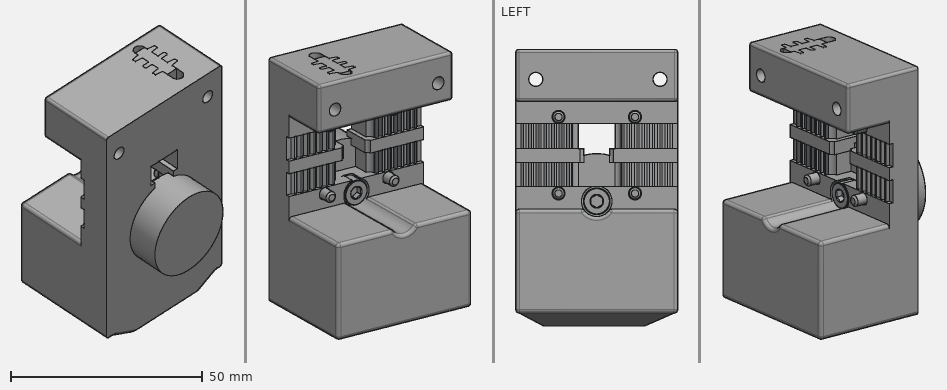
import cadquery as cq
import math

body_depth = 32.3
body_width = 42.4
body_top = 72.45
wall_front = 22.75
jaw_front = 9.0
jaw_bottom = 58.8
jaw_round = 0.8
base_bottom = 3.4
base_top = 30.65
base_round = 1.0
half_width = body_width / 2
cut_margin = 1.0

foot_front = 15.95
foot_left = 13.8
foot_right = -12.4
foot_corner_round = 1.0

window_half_width = 4.8
window_bottom = 36.5
window_top = 53.0
window_corner = 1.5
bar_bottom = 42.9
bar_top = 46.5
bar_half_gap = 3.4
bar_round = 1.0
tooth_tip = 23.25
tooth_root = 23.95
tooth_pitch = 2.0
tooth_count = 7
tooth_land = 0.55
tooth_flank = 0.75
first_tooth = 6.55

magnet_diameter = 25.0
magnet_reach = 9.25
magnet_recess = 2.0
axis_height = 32.7
head_diameter = 7.0
head_height = 4.2
head_chamfer = 0.2
hex_flats = 3.0
hex_depth = 2.0
hex_lead_in = 3.6
hex_lead_in_depth = (hex_lead_in - hex_flats) / 2
shank_diameter = 4.0
shank_in_magnet = 5.0
groove_diameter = 8.0

pin_diameter = 3.0
pin_tip_diameter = 1.89
pin_hole_diameter = 3.4
pin_reach = 3.4
pin_bed = 6.0
pin_spacing = 20.0
pin_middle = 44.75
cross_hole_diameter = 3.6
cross_hole_spacing = 32.5
cross_hole_middle = -0.3
cross_hole_height = 64.6

slot_center = 20.0
slot_length = 17.4
slot_width = 3.4
slot_y = 10.0
slot_depth = 4.0
bore_diameter = 3.0
bore_length = 8.0
bore_tilt = 20.0
key_center = 19.08
key_length = 11.95
key_span = 8.1
key_tooth_pitch = 3.77
key_middle_tooth_x = 18.7
key_tooth_root = 1.7
key_tooth_tip = 1.05
key_middle_tooth = 1.3
key_middle_round = 0.4


def block(x_min, x_max, y_half, z_min, z_max):
    """Box that is symmetric about Y = 0."""
    size = (x_max - x_min, 2 * y_half, z_max - z_min)
    return cq.Workplane().box(*size, centered=(False, True, False)).translate((x_min, 0, z_min))


def rod(diameter, x_min, x_max, y=0, z=axis_height):
    """Cylinder along X."""
    return cq.Workplane("YZ", origin=(x_min, y, z)).circle(diameter / 2).extrude(x_max - x_min)


def make_jaw():
    jaw = block(jaw_front, body_depth, half_width, jaw_bottom, body_top)
    return jaw.edges("|X or <X").fillet(jaw_round)


def make_base():
    base = block(0, body_depth, half_width, base_bottom, base_top)
    base = base.cut(rod(groove_diameter, 0, body_depth))
    return base.edges("|X or <X").fillet(base_round)


def make_foot():
    length = body_depth - base_round
    width = body_width - 2 * base_round
    flat_length = body_depth - foot_front
    flat_width = foot_left - foot_right
    foot = (
        cq.Workplane("XY", origin=(body_depth - length / 2, 0, base_bottom))
        .rect(length, width)
        .workplane(offset=-base_bottom)
        .center((length - flat_length) / 2, (foot_left + foot_right) / 2)
        .rect(flat_length, flat_width)
        .loft(ruled=True)
    )
    back_edges = foot.faces(">X").edges("not |Y")
    return back_edges.fillet(foot_corner_round)


def make_belt_cutter(z_min, z_max):
    """Space taken by one belt band on the +Y side, toothed on its back."""
    mouth = wall_front - cut_margin
    outer = half_width + cut_margin
    points = [(mouth, 0), (tooth_root, 0)]
    for index in range(tooth_count):
        step = first_tooth + index * tooth_pitch
        points.append((tooth_root, step))
        points.append((tooth_tip, step))
        points.append((tooth_tip, step + tooth_land))
        points.append((tooth_root, step + tooth_land + tooth_flank))
    points.append((tooth_root, outer))
    points.append((mouth, outer))
    teeth = cq.Workplane("XY", origin=(0, 0, z_min)).polyline(points).close().extrude(z_max - z_min)

    flare = window_half_width + window_corner
    opening = (
        cq.Workplane("XY", origin=(0, 0, z_min))
        .moveTo(tooth_root, 0)
        .lineTo(tooth_root, flare)
        .radiusArc((tooth_root + window_corner, window_half_width), window_corner)
        .lineTo(body_depth, window_half_width)
        .lineTo(body_depth, 0)
        .close()
        .extrude(z_max - z_min)
    )
    return teeth.union(opening)


def make_bar_gap():
    """Gap between the rounded ends of the bar, right through the wall."""
    gap = (
        cq.Workplane("XY", origin=(0, 0, bar_bottom))
        .moveTo(wall_front, 0)
        .lineTo(wall_front, bar_half_gap + bar_round)
        .radiusArc((wall_front + bar_round, bar_half_gap), bar_round)
        .lineTo(body_depth, bar_half_gap)
        .lineTo(body_depth, 0)
        .close()
        .extrude(bar_top - bar_bottom)
    )
    return gap


def make_slot():
    """Straight-sided mouth that the key fills, above a round-bottomed channel."""
    floor = body_top - slot_depth
    mouth = (
        cq.Workplane("XY", origin=(slot_center, slot_y, floor))
        .slot2D(slot_length, slot_width)
        .extrude(slot_depth)
    )
    channel_start = slot_center - slot_length / 2
    channel_end = channel_start + slot_length
    return mouth.union(rod(slot_width, channel_start, channel_end, slot_y, floor))


def make_slot_bore():
    """Sloping bore that leaves the +X end of the channel."""
    end_x = slot_center + (slot_length - bore_diameter) / 2
    bore = (
        cq.Workplane("XY", origin=(end_x, slot_y, body_top - slot_depth))
        .transformed(rotate=(0, bore_tilt, 0))
        .circle(bore_diameter / 2)
        .extrude(-bore_length)
    )
    return bore


pin_spots = [
    (side * pin_spacing / 2, pin_middle + level * pin_spacing / 2)
    for side in (-1, 1)
    for level in (-1, 1)
]


def make_pin(y, z):
    pin = rod(pin_diameter, wall_front - pin_reach, wall_front + pin_bed, y, z)
    return pin.faces("<X").chamfer((pin_diameter - pin_tip_diameter) / 2)


def make_screw():
    head = rod(head_diameter, wall_front, wall_front + head_height)
    head = head.faces("<X").chamfer(head_chamfer)
    shank = rod(shank_diameter, wall_front + head_height, body_depth + shank_in_magnet)
    socket = (
        cq.Workplane("YZ", origin=(wall_front, 0, axis_height))
        .transformed(rotate=(0, 0, 90))
        .polygon(6, hex_flats / math.cos(math.radians(30)))
        .extrude(hex_depth)
    )
    lead_in = cq.Solid.makeCone(
        hex_lead_in / 2,
        hex_flats / 2,
        hex_lead_in_depth,
        cq.Vector(wall_front, 0, axis_height),
        cq.Vector(1, 0, 0),
    )
    return head.union(shank).cut(socket).cut(lead_in)


def make_key():
    floor = body_top - slot_depth
    core_plane = cq.Workplane("XY", origin=(key_center, slot_y, floor))
    tooth_plane = cq.Workplane("XY", origin=(key_middle_tooth_x, slot_y, floor))
    key = core_plane.rect(key_length, slot_width).extrude(slot_depth)
    half_span = key_span / 2
    for offset in (-key_tooth_pitch, key_tooth_pitch):
        outline = [
            (offset - key_tooth_tip / 2, -half_span),
            (offset + key_tooth_tip / 2, -half_span),
            (offset + key_tooth_root / 2, -slot_width / 2),
            (offset + key_tooth_root / 2, slot_width / 2),
            (offset + key_tooth_tip / 2, half_span),
            (offset - key_tooth_tip / 2, half_span),
            (offset - key_tooth_root / 2, slot_width / 2),
            (offset - key_tooth_root / 2, -slot_width / 2),
        ]
        key = key.union(tooth_plane.polyline(outline).close().extrude(slot_depth))
    middle = tooth_plane.rect(key_middle_tooth, key_span).extrude(slot_depth)
    middle = middle.edges("|Z").fillet(key_middle_round)
    return key.union(middle)


def make_magnet_blank():
    """Full magnet cylinder, before its screw hole; also the recess it sits in."""
    return rod(magnet_diameter, body_depth - magnet_recess, body_depth + magnet_reach)


def make_housing():
    wall_bottom = (base_bottom + base_top) / 2
    wall_top = (jaw_bottom + body_top) / 2
    housing = block(wall_front, body_depth, half_width, wall_bottom, wall_top)
    for piece in (make_jaw(), make_base(), make_foot()):
        housing = housing.union(piece)

    lower_band = make_belt_cutter(window_bottom, bar_bottom)
    upper_band = make_belt_cutter(bar_top, window_top)
    for cutter in (lower_band, upper_band, make_bar_gap()):
        housing = housing.cut(cutter).cut(cutter.mirror("XZ"))

    housing = housing.cut(make_magnet_blank())
    housing = housing.cut(rod(groove_diameter, wall_front, wall_front + head_height))
    housing = housing.cut(rod(shank_diameter, wall_front, body_depth))

    for side in (-1, 1):
        hole_y = cross_hole_middle + side * cross_hole_spacing / 2
        housing = housing.cut(rod(cross_hole_diameter, jaw_front, body_depth, hole_y, cross_hole_height))
    for y, z in pin_spots:
        housing = housing.cut(rod(pin_hole_diameter, wall_front, wall_front + pin_bed, y, z))
    return housing.cut(make_slot()).cut(make_slot_bore()).cut(make_key())


housing = make_housing()
key = make_key()
screw = make_screw()
magnet = make_magnet_blank().cut(screw)
pins = [make_pin(y, z) for y, z in pin_spots]

result = cq.Compound.makeCompound([
    housing.val(),
    key.val(),
    magnet.val(),
    screw.val(),
    *[pin.val() for pin in pins],
])